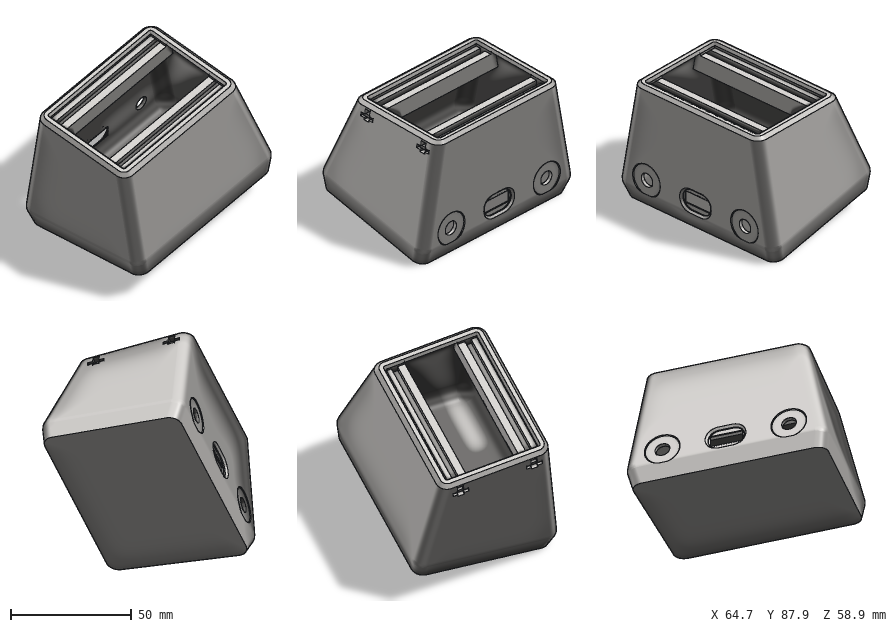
import cadquery as cq
import math

LENGTH = 64.7
HEIGHT = 58.9
RIDGE_Z = 7.65
RIDGE_HALF_WIDTH = 44.2
SIDE_DRAFT = math.radians(10)
SLANT_DRAFT = math.radians(20)
TILT = math.radians(10)
BASE_TAPER = 11.5
BASE_DEPTH = 8.1
CORNER_RADIUS = 5.0
TOP_CHAMFER = 1.5

WALL = 2.0
CAVITY_DEPTH = 4.9
CAVITY_RADIUS = 6.0

MOUTH_LENGTH = 41.5
MOUTH_WIDTH = 61.6
MOUTH_X = 25.1
LIP_HEIGHT = 1.2
LIP_BEVEL = 1.0
LIP_CORNER_RADIUS = 1.05
LIP_UNDERSIDE = HEIGHT - LIP_HEIGHT

RAIL_TOP = 56.55
RAIL_BOTTOM = 48.5
RAIL_GAP = 24.0
CHANNEL_SPACING = 33.6
CHANNEL_XS = [MOUTH_X - CHANNEL_SPACING / 2, MOUTH_X + CHANNEL_SPACING / 2]
CHANNEL_WIDTH = 2.8
CHANNEL_DEPTH = 4.9
SLOT_WIDTH = 7.1
SLOT_HEIGHT = 1.6
SLOT_BOTTOM = 52.5
STRIP_CLEARANCE = 0.2
STRIP_END_Y = 35.2

OPENING_Z = 13.9
JACK_SPACING = 55.1
JACK_HOLE_DIAMETER = 6.4
JACK_RECESS_DIAMETER = 15.6
JACK_RECESS_DEPTH = 0.35
PORT_RECESS_LENGTH = 17.8
PORT_RECESS_HEIGHT = 11.8
PORT_BEVEL = 1.0
PORT_RECESS_DEPTH = 1.5
PORT_LENGTH = 14.1
PORT_HEIGHT = 5.6
BEVEL_ANGLE = 45

REACH = 105.5
RIDGE_END_Z = RIDGE_Z + LENGTH * math.tan(TILT)


def block(x_range, y_range, z_range):
    """Box between the given lower and upper limits."""
    (x0, x1), (y0, y1), (z0, z1) = x_range, y_range, z_range
    box = cq.Workplane("XY").box(x1 - x0, y1 - y0, z1 - z0, centered=False)
    return box.translate((x0, y0, z0))


def half_width(z):
    """Half width of the leaning Y walls at height z."""
    return RIDGE_HALF_WIDTH - (z - RIDGE_Z) * math.tan(SIDE_DRAFT)


def tapered_tower(wall, drop):
    """Solid inside the four walls moved inwards by wall, standing on the ridge plane lowered by drop."""
    bottom_z = RIDGE_Z - drop / math.cos(TILT)
    end_x_at_ridge = LENGTH - wall / math.cos(SLANT_DRAFT)
    slope, rise = math.tan(SLANT_DRAFT), math.tan(TILT)
    end_x_bottom = (end_x_at_ridge + (RIDGE_END_Z - bottom_z) * slope) / (1 + rise * slope)
    end_x_top = end_x_at_ridge - (HEIGHT - RIDGE_END_Z) * slope
    side_profile = [
        (wall, HEIGHT),
        (wall, bottom_z + wall * rise),
        (end_x_bottom, bottom_z + end_x_bottom * rise),
        (end_x_top, HEIGHT),
    ]
    side_wall = wall / math.cos(SIDE_DRAFT)
    low_y = half_width(0) - side_wall
    high_y = half_width(HEIGHT) - side_wall
    end_profile = [(low_y, 0), (high_y, HEIGHT), (-high_y, HEIGHT), (-low_y, 0)]
    side = cq.Workplane("XZ").polyline(side_profile).close().extrude(REACH, both=True)
    end = cq.Workplane("YZ").polyline(end_profile).close().extrude(REACH)
    return side.intersect(end)


def tapered_base():
    """Base that narrows downwards from the tilted ridge plane."""
    ridge_plane = cq.Plane(
        origin=(0, 0, RIDGE_Z),
        xDir=(math.cos(TILT), 0, math.sin(TILT)),
        normal=(-math.sin(TILT), 0, math.cos(TILT)),
    )
    ridge_length = LENGTH / math.cos(TILT)
    near_y, far_y = half_width(RIDGE_Z), half_width(RIDGE_END_Z)
    outline = [(0, -near_y), (ridge_length, -far_y), (ridge_length, far_y), (0, near_y)]
    return cq.Workplane(ridge_plane).polyline(outline).close().extrude(-BASE_DEPTH, taper=BASE_TAPER)


def outer_shell():
    """Outside of the housing, rounded on the ridge and corners and chamfered at the top."""
    shell = tapered_tower(0, 0).union(tapered_base())
    floor_normal = cq.Vector(-math.sin(TILT), 0, math.cos(TILT))
    top_edges = cq.selectors.DirectionMinMaxSelector(cq.Vector(0, 0, 1))
    bottom_edges = cq.selectors.DirectionMinMaxSelector(floor_normal, directionMax=False)
    shell = shell.edges(-(top_edges + bottom_edges)).fillet(CORNER_RADIUS)
    return shell.faces(">Z").edges().chamfer(TOP_CHAMFER)


def cavity():
    """Rounded hollow below the lip, leaving a solid rail along each end wall."""
    hollow = tapered_tower(WALL, CAVITY_DEPTH).edges("not(>Z)").fillet(CAVITY_RADIUS)
    across = (-REACH, REACH)
    hollow = hollow.cut(block(across, across, (LIP_UNDERSIDE, REACH)))
    rail_heights = (RAIL_BOTTOM, REACH)
    hollow = hollow.cut(block((-REACH, MOUTH_X - RAIL_GAP / 2), across, rail_heights))
    return hollow.cut(block((MOUTH_X + RAIL_GAP / 2, REACH), across, rail_heights))


def mouth():
    """Bevelled opening at the top and the straight recess that ends on the rails."""
    bevel_angle = math.degrees(math.atan(LIP_BEVEL / LIP_HEIGHT))
    outline = cq.Sketch().rect(MOUTH_LENGTH + 2 * LIP_BEVEL, MOUTH_WIDTH + 2 * LIP_BEVEL)
    outline = outline.vertices().fillet(LIP_CORNER_RADIUS)
    top = cq.Workplane("XY", origin=(MOUTH_X, 0, HEIGHT))
    bevel = top.placeSketch(outline).extrude(-LIP_HEIGHT, taper=bevel_angle)
    recess = cq.Workplane("XY", origin=(MOUTH_X, 0, RAIL_TOP)).rect(MOUTH_LENGTH, MOUTH_WIDTH)
    return bevel.union(recess.extrude(LIP_UNDERSIDE - RAIL_TOP))


def rail_slot(x):
    """Cross-shaped slot along a rail, open at the top and through the +Y wall."""
    along = (-MOUTH_WIDTH / 2, REACH)
    channel_sides = (x - CHANNEL_WIDTH / 2, x + CHANNEL_WIDTH / 2)
    slot_sides = (x - SLOT_WIDTH / 2, x + SLOT_WIDTH / 2)
    channel = block(channel_sides, along, (RAIL_TOP - CHANNEL_DEPTH, RAIL_TOP))
    return channel.union(block(slot_sides, along, (SLOT_BOTTOM, SLOT_BOTTOM + SLOT_HEIGHT)))


def wall_plane(y):
    """Workplane on the upright wall, at the height of its openings."""
    return cq.Workplane("YZ", origin=(0, y, OPENING_Z))


def jack_opening(y):
    """Round hole in a shallow bevelled recess."""
    recess = wall_plane(y).circle(JACK_RECESS_DIAMETER / 2).extrude(JACK_RECESS_DEPTH, taper=BEVEL_ANGLE)
    return recess.union(wall_plane(y).circle(JACK_HOLE_DIAMETER / 2).extrude(2 * WALL))


def port_opening():
    """Rectangular hole in a bevelled oval recess."""
    oval = wall_plane(0).slot2D(PORT_RECESS_LENGTH, PORT_RECESS_HEIGHT)
    bevel = oval.extrude(PORT_BEVEL, taper=BEVEL_ANGLE)
    inner_oval = wall_plane(0).slot2D(PORT_RECESS_LENGTH - 2 * PORT_BEVEL, PORT_RECESS_HEIGHT - 2 * PORT_BEVEL)
    recess = bevel.union(inner_oval.extrude(PORT_RECESS_DEPTH))
    return recess.union(wall_plane(0).rect(PORT_LENGTH, PORT_HEIGHT).extrude(2 * WALL))


def make_housing():
    housing = outer_shell().cut(cavity()).cut(mouth())
    for x in CHANNEL_XS:
        housing = housing.cut(rail_slot(x))
    for y in (-JACK_SPACING / 2, JACK_SPACING / 2):
        housing = housing.cut(jack_opening(y))
    return housing.cut(port_opening())


def make_strip(x):
    """Flat bar that lies in the wide slot of a rail."""
    half = SLOT_WIDTH / 2 - STRIP_CLEARANCE
    along = (-MOUTH_WIDTH / 2 + STRIP_CLEARANCE, STRIP_END_Y)
    return block((x - half, x + half), along, (SLOT_BOTTOM, SLOT_BOTTOM + SLOT_HEIGHT - STRIP_CLEARANCE))


housing = make_housing()
strips = [make_strip(x) for x in CHANNEL_XS]
result = cq.Compound.makeCompound([housing.val(), *[strip.val() for strip in strips]])